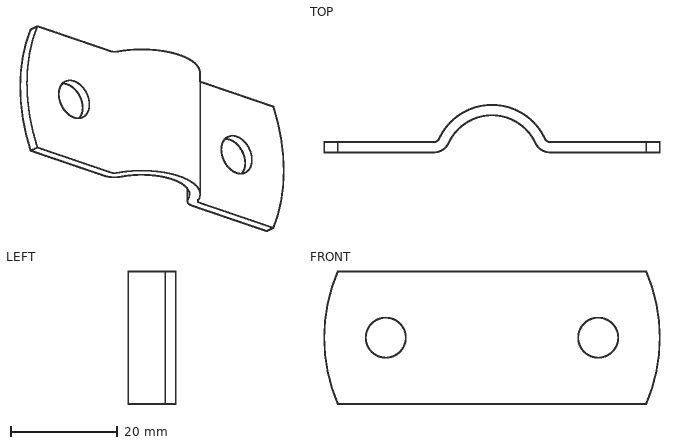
import cadquery as cq
import math


end_diameter = 63.25
width = 25.0
height = 9.0
thickness = 2.0
saddle_inner_radius = 9.0
bend_inner_radius = 1.0
hole_diameter = 7.5
hole_spacing = 40.0

end_radius = end_diameter / 2
half_width = width / 2
corner_x = math.sqrt(end_radius**2 - half_width**2)
saddle_outer_radius = saddle_inner_radius + thickness
bend_outer_radius = bend_inner_radius + thickness
saddle_center_y = height - saddle_outer_radius
bend_center_y = thickness + bend_inner_radius
center_distance = saddle_outer_radius + bend_inner_radius
bend_center_x = math.sqrt(center_distance**2 - (bend_center_y - saddle_center_y) ** 2)
tangent_angle = math.asin((bend_center_y - saddle_center_y) / center_distance)
bend_middle_angle = (math.pi + tangent_angle + 3 * math.pi / 2) / 2


def saddle_point(radius):
    """Point where the saddle arc of this radius runs into the right bend."""
    return (
        radius * math.cos(tangent_angle),
        saddle_center_y + radius * math.sin(tangent_angle),
    )


def bend_middle(radius):
    """Middle of the right bend arc of this radius."""
    return (
        bend_center_x + radius * math.cos(bend_middle_angle),
        bend_center_y + radius * math.sin(bend_middle_angle),
    )


def mirrored(point):
    """The same point on the left side of the part."""
    return (-point[0], point[1])


def make_strip():
    """Constant-thickness bent strip, extruded across its width along Z."""
    outer_end = saddle_point(saddle_outer_radius)
    inner_end = saddle_point(saddle_inner_radius)
    outer_bend = bend_middle(bend_inner_radius)
    inner_bend = bend_middle(bend_outer_radius)
    return (
        cq.Workplane("XY")
        .workplane(offset=-half_width)
        .moveTo(-end_radius, 0)
        .lineTo(-bend_center_x, 0)
        .threePointArc(mirrored(inner_bend), mirrored(inner_end))
        .threePointArc((0, height - thickness), inner_end)
        .threePointArc(inner_bend, (bend_center_x, 0))
        .lineTo(end_radius, 0)
        .lineTo(end_radius, thickness)
        .lineTo(bend_center_x, thickness)
        .threePointArc(outer_bend, outer_end)
        .threePointArc((0, height), mirrored(outer_end))
        .threePointArc(mirrored(outer_bend), (-bend_center_x, thickness))
        .lineTo(-end_radius, thickness)
        .close()
        .extrude(width)
    )


def make_end_outline():
    """Block whose two ends are concentric arcs; it rounds the strip ends."""
    return (
        cq.Workplane("XZ")
        .moveTo(-corner_x, -half_width)
        .lineTo(corner_x, -half_width)
        .threePointArc((end_radius, 0), (corner_x, half_width))
        .lineTo(-corner_x, half_width)
        .threePointArc((-end_radius, 0), (-corner_x, -half_width))
        .close()
        .extrude(-height)
    )


def make_holes():
    """One through hole in the middle of each flange."""
    return (
        cq.Workplane("XZ")
        .pushPoints([(-hole_spacing / 2, 0), (hole_spacing / 2, 0)])
        .circle(hole_diameter / 2)
        .extrude(-thickness)
    )


result = make_strip().intersect(make_end_outline()).cut(make_holes())